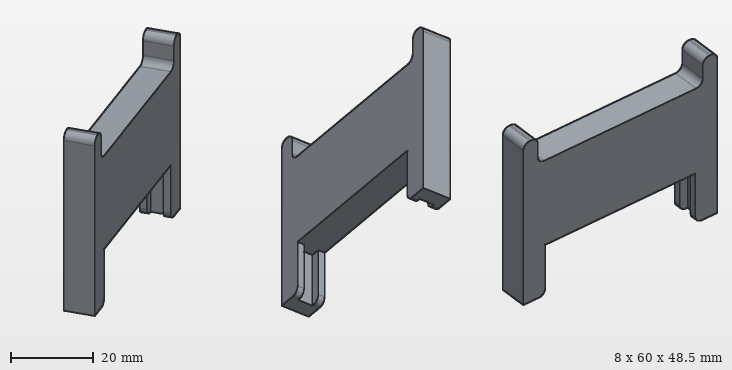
import cadquery as cq

thickness = 8.0
width = 60.0
height = 48.5
corner_radius = 2.0

horn_width = 4.5
horn_height = 8.0
leg_width = 6.8
leg_height = 15.0

groove_width = 4.2
groove_depth = 2.5
groove_start = (thickness - groove_width) / 2

horn_gap = width - 2 * horn_width
leg_gap = width - 2 * leg_width


def box(size_x, size_y, size_z):
    """Box standing on Z = 0, starting at X = 0 and centred in Y."""
    return cq.Workplane("XY").box(size_x, size_y, size_z, centered=(False, True, False))


def make_frame():
    """Plate with a wide recess above, leaving horns, and one below, leaving legs."""
    upper_recess = box(thickness, horn_gap, horn_height).translate((0, 0, height - horn_height))
    lower_recess = box(thickness, leg_gap, leg_height)
    return box(thickness, width, height).cut(upper_recess).cut(lower_recess)


def round_corners(frame):
    """Round the horn tips, the horn roots and the inner corners of the feet."""
    horn_tips = frame.faces(">Z").edges("|X")
    horn_roots = frame.faces("|Z").faces(">Z[-2]").edges("|X")
    inner_leg_edges = frame.faces("<Z").edges("|X").sort(lambda edge: abs(edge.Center().y))[:2]
    rounded_edges = horn_tips.vals() + horn_roots.vals() + inner_leg_edges.vals()
    return frame.newObject(rounded_edges).fillet(corner_radius)


def cut_leg_grooves(frame):
    """Cut the facing grooves over the full height of both legs."""
    groove_span = leg_gap + 2 * groove_depth
    grooves = box(groove_width, groove_span, leg_height).translate((groove_start, 0, 0))
    return frame.cut(grooves)


result = cut_leg_grooves(round_corners(make_frame()))